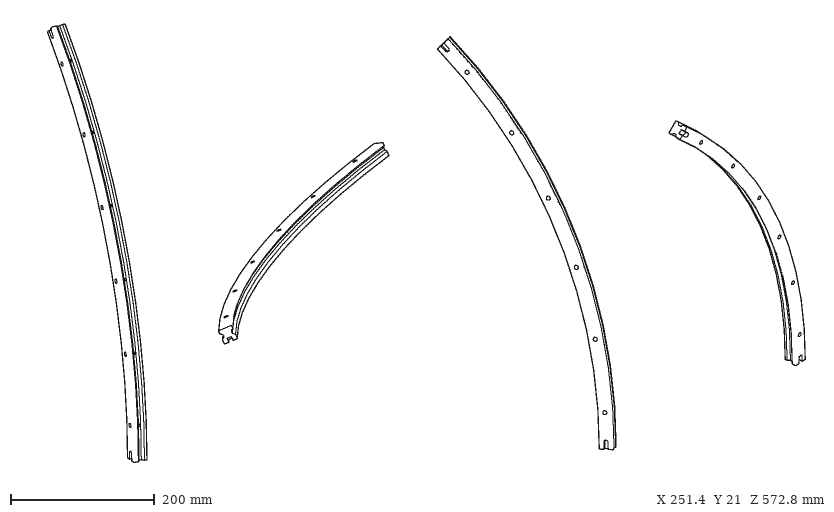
import cadquery as cq

bend_radius = 800.0
bend_angle = 45.0
bar_width = 20.0
bar_thickness = 21.0
corner_radius = 1.0

groove_mouth = 10.0
groove_floor = 3.5
groove_offset = 1.0
groove_depth = 3.5

hole_count = 6
hole_diameter = 6.0
radial_hole_diameter = 3.0

key_width = 6.5
key_length = 13.0
key_depth = 6.5

half_thickness = bar_thickness / 2
inner_radius = bend_radius - bar_width / 2
outer_radius = bend_radius + bar_width / 2


def sweep_profile(profile):
    """Revolve a (radius, Y) profile about the bend axis, from +X toward +Z."""
    return profile.revolve(bend_angle, (0, 0, 0), (0, -1, 0))


def bar():
    profile = (
        cq.Sketch()
        .rect(bar_width, bar_thickness)
        .vertices()
        .fillet(corner_radius)
        .moved(cq.Location(cq.Vector(bend_radius, 0, 0)))
    )
    return sweep_profile(cq.Workplane("XY").placeSketch(profile))


def groove(face_radius, floor_radius):
    half_mouth = groove_mouth / 2
    half_floor = groove_floor / 2
    outline = [
        (face_radius, groove_offset - half_mouth),
        (floor_radius, groove_offset - half_floor),
        (floor_radius, groove_offset + half_floor),
        (face_radius, groove_offset + half_mouth),
    ]
    return sweep_profile(cq.Workplane("XY").polyline(outline).close())


def turn(body, angle):
    """Turn a body about the bend axis, from +X toward +Z."""
    return body.rotate((0, 0, 0), (0, -1, 0), angle)


def cross_hole(angle):
    start = cq.Workplane("XZ", origin=(bend_radius, half_thickness, 0))
    return turn(start.circle(hole_diameter / 2).extrude(bar_thickness), angle)


def radial_hole(angle):
    start = cq.Workplane("YZ", origin=(bend_radius, groove_offset, 0))
    return turn(start.circle(radial_hole_diameter / 2).extrude(bar_width / 2), angle)


def key_slot(angle):
    """Slot with rounded ends, centred on the end face so that half of it lies in the bar."""
    slot = (
        cq.Workplane("XZ", origin=(bend_radius, -half_thickness, 0))
        .slot2D(2 * key_length, key_width, 90)
        .extrude(-key_depth)
    )
    return turn(slot, angle)


rail = bar()
rail = rail.cut(groove(inner_radius, inner_radius + groove_depth))
rail = rail.cut(groove(outer_radius, outer_radius - groove_depth))
hole_step = bend_angle / hole_count
for index in range(hole_count):
    hole_angle = (index + 0.5) * hole_step
    rail = rail.cut(cross_hole(hole_angle))
    rail = rail.cut(radial_hole(hole_angle))
for end_angle in (0, bend_angle):
    rail = rail.cut(key_slot(end_angle))

result = rail